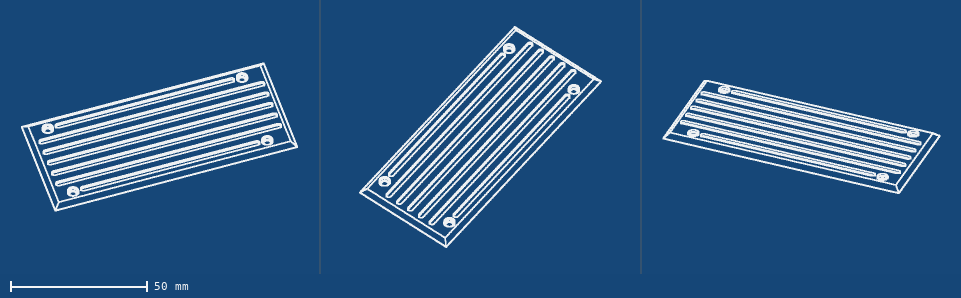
import cadquery as cq

WIDTH = 40.0
LENGTH = 93.6
THICKNESS = 2.0
BACK_EDGE = LENGTH / 2

GROOVE_WIDTH = 2.0
GROOVE_DEPTH = 1.0
LONG_GROOVE_COUNT = 5
LONG_GROOVE_LENGTH = 87.0
LONG_GROOVE_BACK_MARGIN = 3.0
SHORT_GROOVE_LENGTH = 69.05

HOLE_DIAMETER = 2.7
HEAD_DIAMETER = 4.0
HEAD_RECESS_DEPTH = 0.9
CONE_DIAMETER = 3.7
HOLE_SPACING_X = 30.0
HOLE_SPACING_Y = 75.0
HOLE_BACK_MARGIN = 10.0
HOLE_CENTER_Y = BACK_EDGE - HOLE_BACK_MARGIN - HOLE_SPACING_Y / 2

GROOVE_PITCH = HOLE_SPACING_X / (LONG_GROOVE_COUNT + 1)


def make_plate():
    """Plate with its base on Z = 0 and all four sides sloping inward."""
    top_width = WIDTH - 2 * THICKNESS
    top_length = LENGTH - 2 * THICKNESS
    return (
        cq.Workplane("XY")
        .rect(WIDTH, LENGTH)
        .workplane(offset=THICKNESS)
        .rect(top_width, top_length)
        .loft(ruled=True)
    )


def make_grooves(centers, length):
    """Cutters for grooves of one length, sunk from the top face."""
    return (
        cq.Workplane("XY", origin=(0, 0, THICKNESS))
        .pushPoints(centers)
        .slot2D(length, GROOVE_WIDTH, 90)
        .extrude(-GROOVE_DEPTH)
    )


def make_hole_cutter():
    """Cutter for one screw hole: a flat-floored head recess, a cone in its floor and a through bore."""
    head_radius = HEAD_DIAMETER / 2
    cone_radius = CONE_DIAMETER / 2
    bore_radius = HOLE_DIAMETER / 2
    recess_z = THICKNESS - HEAD_RECESS_DEPTH
    cone_bottom_z = recess_z - (cone_radius - bore_radius)
    return (
        cq.Workplane("XZ")
        .moveTo(0, 0)
        .lineTo(bore_radius, 0)
        .lineTo(bore_radius, cone_bottom_z)
        .lineTo(cone_radius, recess_z)
        .lineTo(head_radius, recess_z)
        .lineTo(head_radius, THICKNESS)
        .lineTo(0, THICKNESS)
        .close()
        .revolve(360, (0, 0, 0), (0, 1, 0))
    )


def make_holes():
    """Cutters for the four screw holes."""
    cutter = make_hole_cutter().val()
    return (
        cq.Workplane("XY", origin=(0, HOLE_CENTER_Y, 0))
        .rarray(HOLE_SPACING_X, HOLE_SPACING_Y, 2, 2)
        .eachpoint(lambda location: cutter.moved(location))
    )


long_groove_y = BACK_EDGE - LONG_GROOVE_BACK_MARGIN - LONG_GROOVE_LENGTH / 2
middle_index = (LONG_GROOVE_COUNT - 1) / 2
long_centers = [
    ((index - middle_index) * GROOVE_PITCH, long_groove_y)
    for index in range(LONG_GROOVE_COUNT)
]

short_centers = [(side * HOLE_SPACING_X / 2, HOLE_CENTER_Y) for side in (-1, 1)]

result = make_plate()
result = result.cut(make_grooves(long_centers, LONG_GROOVE_LENGTH))
result = result.cut(make_grooves(short_centers, SHORT_GROOVE_LENGTH))
result = result.cut(make_holes())